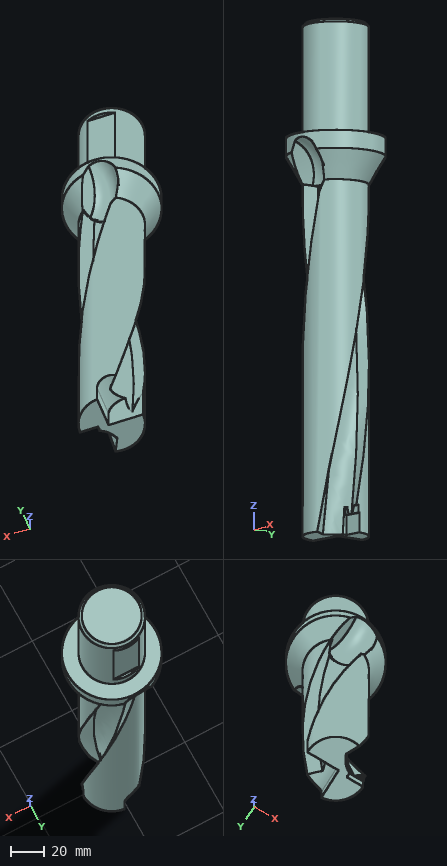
import cadquery as cq
import math

total_length = 312.9
shank_length = 70.0
flange_band = 11.0
cone_angle = 60.0
body_radius = 20.0
shank_radius = 20.0
flange_radius = 30.0
shank_chamfer = 2.0

flange_top = total_length - shank_length
cone_top = flange_top - flange_band
cone_bottom = cone_top - (flange_radius - body_radius) * math.tan(math.radians(cone_angle))

flat_depth = 2.0
flat_length = 55.0
flat_from_top = 7.0

flute_count = 2
flute_start_angle = -45.5
flute_twist_rate = 0.587
flute_floor = 6.5
trailing_corner_depth = 8.2
trailing_corner_width = 7.3
leading_corner_depth = 9.9
leading_corner_width = 8.8
trailing_mouth_width = 12.4
leading_mouth_width = 12.2
flute_mouth = 24.0

runout_start = cone_bottom - 4.0
runout_radius = 33.0
runout_tilt = 25.0
runout_overlap = 4.0
runout_sweep = 90.0

runout_floor = 5.5
runout_corner_depth = 11.0
runout_corner_width = 9.5
runout_mouth_width = 11.0

outer_pocket_height = 23.5
outer_pocket_fillet = 11.2
outer_pocket_floor = 2.0

inner_pocket_side = 8.5
insert_height = 12.0
inner_pocket_height = 16.7
inner_pocket_wall = 0.2
inner_seat_wall = 1.0


def make_blank():
    return (
        cq.Workplane("YZ")
        .moveTo(0, 0)
        .lineTo(-body_radius, 0)
        .lineTo(-body_radius, cone_bottom)
        .lineTo(-flange_radius, cone_top)
        .lineTo(-flange_radius, flange_top)
        .lineTo(-shank_radius, flange_top)
        .lineTo(-shank_radius, total_length - shank_chamfer)
        .lineTo(-shank_radius + shank_chamfer, total_length)
        .lineTo(0, total_length)
        .close()
        .revolve(360, (0, 0), (0, 1))
    )


def make_shank_flat():
    return (
        cq.Workplane("XY")
        .box(2 * shank_radius, flat_depth, flat_length, centered=(True, False, False))
        .translate((0, shank_radius - flat_depth, total_length - flat_from_top - flat_length))
    )


def groove_profile(plane, floor, trailing_corner, leading_corner, trailing_mouth, leading_mouth):
    """Round-bottomed groove section opening along the plane's local x direction."""
    return (
        cq.Workplane(plane)
        .moveTo(flute_mouth, -trailing_mouth)
        .lineTo(trailing_corner[0], -trailing_corner[1])
        .threePointArc((floor, 0), leading_corner)
        .lineTo(flute_mouth, leading_mouth)
        .close()
    )


def make_flute(tip_angle):
    tip = math.radians(tip_angle)
    helix_length = runout_start + runout_overlap
    tip_plane = cq.Plane((0, 0, 0), (math.cos(tip), math.sin(tip), 0), (0, 0, 1))
    profile = groove_profile(
        tip_plane,
        flute_floor,
        (trailing_corner_depth, trailing_corner_width),
        (leading_corner_depth, leading_corner_width),
        trailing_mouth_width,
        leading_mouth_width,
    )
    return profile.twistExtrude(helix_length, flute_twist_rate * helix_length)


def make_runout(tip_angle):
    """The runout section swung outward about an axis beyond the flute mouth."""
    top_angle = math.radians(tip_angle + flute_twist_rate * runout_start)
    outward = cq.Vector(math.cos(top_angle), math.sin(top_angle), 0)
    sideways = cq.Vector(-math.sin(top_angle), math.cos(top_angle), 0)
    tilt = math.radians(runout_tilt)
    travel = sideways * math.sin(tilt) + cq.Vector(0, 0, math.cos(tilt))
    plane = cq.Plane((0, 0, runout_start), outward, travel)
    swing_axis = runout_floor + runout_radius
    corner = (runout_corner_depth, runout_corner_width)
    profile = groove_profile(
        plane, runout_floor, corner, corner, runout_mouth_width, runout_mouth_width
    )
    return profile.revolve(runout_sweep, (swing_axis, 0), (swing_axis, 1))


def make_outer_pocket():
    return (
        cq.Workplane("XZ")
        .moveTo(outer_pocket_floor, 0)
        .lineTo(outer_pocket_floor, outer_pocket_height - outer_pocket_fillet)
        .radiusArc((outer_pocket_floor - outer_pocket_fillet, outer_pocket_height), -outer_pocket_fillet)
        .lineTo(-flange_radius, outer_pocket_height)
        .lineTo(-flange_radius, 0)
        .close()
        .extrude(-flange_radius)
    )


def make_inner_pocket():
    def corner_block(wall, height):
        return (
            cq.Workplane("XY")
            .box(body_radius - inner_pocket_side, body_radius + wall, height, centered=False)
            .translate((inner_pocket_side, -body_radius, 0))
        )

    relief = corner_block(inner_pocket_wall, inner_pocket_height)
    seat = corner_block(inner_seat_wall, insert_height)
    return relief.union(seat)


result = make_blank().cut(make_shank_flat())
for index in range(flute_count):
    angle = flute_start_angle + index * 360.0 / flute_count
    result = result.cut(make_flute(angle)).cut(make_runout(angle))
result = result.cut(make_outer_pocket()).cut(make_inner_pocket())